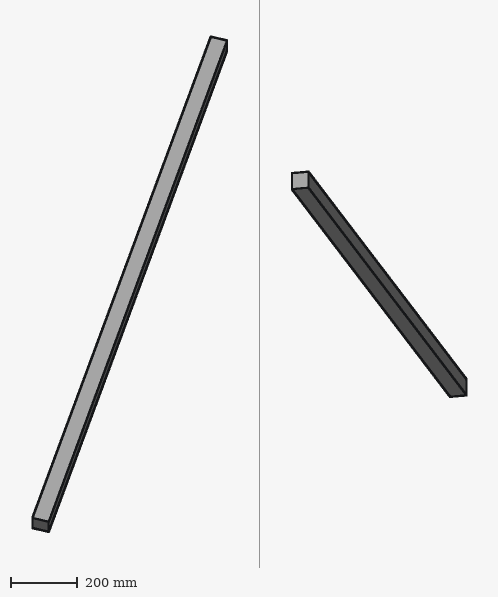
import cadquery as cq
import math

span_x = 1290.0
span_y = 1426.0
bar_size = 51.0

iterations = 60
diagonal = math.hypot(span_x, span_y)
diagonal_angle = math.atan2(span_y, span_x)
slope = diagonal_angle
for _ in range(iterations):
    slope = diagonal_angle - math.asin(bar_size * math.cos(2 * slope) / diagonal)
bar_length = (span_x - bar_size * math.sin(slope)) / math.cos(slope)

result = (
    cq.Workplane("XY")
    .box(bar_length, bar_size, bar_size)
    .rotate((0, 0, 0), (0, 0, 1), -math.degrees(slope))
)